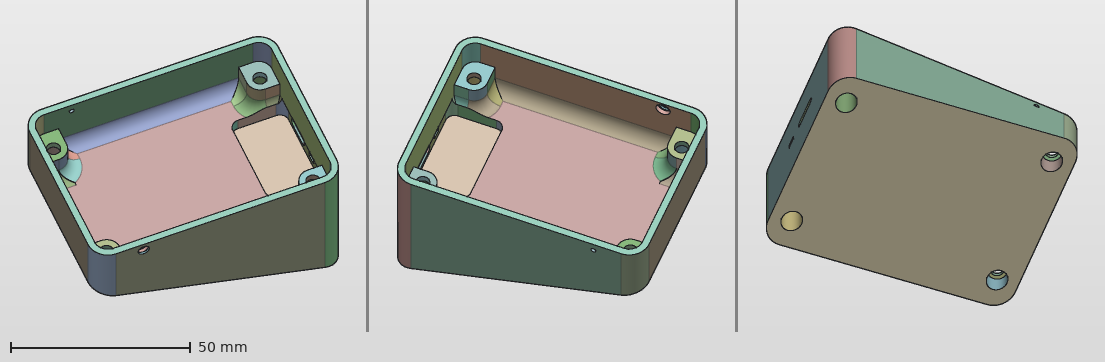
import cadquery as cq
import math


WIDTH = 53.7
LENGTH = 75.05
FRONT_HEIGHT = 18.0
SLOPE_ANGLE = 18.0
BACK_HEIGHT = FRONT_HEIGHT + LENGTH * math.tan(math.radians(SLOPE_ANGLE))
OUTER_RADIUS = 6.0

WALL = 2.0
FLOOR_Z = -FRONT_HEIGHT
FLOOR_FILLET = 4.0
FILLET_RUNOUT = 3.5
INNER_RADIUS = OUTER_RADIUS - WALL
INNER_X = WIDTH / 2 - WALL
INNER_Y = LENGTH / 2 - WALL

POST_X = 19.1
POST_Y = 31.15
POST_RADIUS = 4.0
POST_TOP_Z = -9.0
SCREW_HOLE_DIAMETER = 4.0
HEAD_BORE_DIAMETER = 6.0
HEAD_SEAT_THICKNESS = 2.0
HEAD_SEAT_Z = POST_TOP_Z - HEAD_SEAT_THICKNESS

POCKET_WIDTH = 28.3
POCKET_FRONT_Y = 19.8
POCKET_BACK_Y = 36.6
POCKET_RADIUS = 2.6
POCKET_DEPTH = 4.0
POCKET_TOP_Z = FLOOR_Z + FLOOR_FILLET
POCKET_FLOOR_Z = FLOOR_Z - POCKET_DEPTH

OPENING_X = 4.8
OPENING_Z = -19.2
CONNECTOR_WIDTH = 9.0
CONNECTOR_HEIGHT = 3.0
CONNECTOR_RADIUS = 1.3
WINDOW_WIDTH = 3.0
WINDOW_HEIGHT = 1.8

SIDE_HOLE_Y = -23.2
SIDE_HOLE_Z = -2.8
LEFT_HOLE_DIAMETER = 1.4
RIGHT_HOLE_DIAMETER = 3.3
RIGHT_BORE_DIAMETER = 4.2
RIGHT_BORE_DEPTH = 1.35

CORNERS = [(side, end) for side in (-1, 1) for end in (-1, 1)]


def block(x_limits, y_limits, z_limits):
    """Axis-aligned box between the given pairs of coordinates."""
    (x0, x1), (y0, y1), (z0, z1) = x_limits, y_limits, z_limits
    return cq.Workplane("XY").box(x1 - x0, y1 - y0, z1 - z0, centered=False).translate((x0, y0, z0))


def make_body():
    half_length = LENGTH / 2
    profile = [
        (-half_length, 0),
        (half_length, 0),
        (half_length, -BACK_HEIGHT),
        (-half_length, -FRONT_HEIGHT),
    ]
    wedge = cq.Workplane("YZ").polyline(profile).close().extrude(WIDTH / 2, both=True)
    return wedge.edges("|Z").fillet(OUTER_RADIUS)


def make_post_blank():
    """Post of the back right corner, rounded about its screw axis."""
    return (
        block(
            (POST_X - POST_RADIUS, WIDTH / 2),
            (POST_Y - POST_RADIUS, LENGTH / 2),
            (FLOOR_Z, POST_TOP_Z),
        )
        .edges("|Z and <X and <Y")
        .fillet(POST_RADIUS)
    )


def mirror_to_corner(shape, side, end):
    """Mirror a shape of the back right corner to the given corner."""
    if side < 0:
        shape = shape.mirror("YZ")
    if end < 0:
        shape = shape.mirror("XZ")
    return shape


def make_cavity():
    cavity = block((-INNER_X, INNER_X), (-INNER_Y, INNER_Y), (FLOOR_Z, 0)).edges("|Z").fillet(INNER_RADIUS)
    post = make_post_blank()
    for side, end in CORNERS:
        cavity = cavity.cut(mirror_to_corner(post, side, end))
    return cavity.faces("<Z").edges().fillet(FLOOR_FILLET)


def make_fillet_runout():
    """Straight end of a post's floor fillet that runs on past the start of the post's round side."""
    post_side = POST_X - POST_RADIUS
    runout_end = POST_Y - FILLET_RUNOUT
    fillet_edge = post_side - FLOOR_FILLET
    round_reach = math.sqrt((POST_RADIUS + FLOOR_FILLET) ** 2 - FILLET_RUNOUT**2)
    strip = block((fillet_edge, post_side), (runout_end, POST_Y), (FLOOR_Z, FLOOR_Z + FLOOR_FILLET))
    hollow = (
        cq.Workplane("XZ", origin=(fillet_edge, 0, FLOOR_Z + FLOOR_FILLET))
        .circle(FLOOR_FILLET)
        .extrude(-LENGTH / 2)
    )
    outline = [
        (post_side, POST_Y),
        (POST_X - round_reach, runout_end),
        (fillet_edge, runout_end),
        (fillet_edge, POST_Y),
    ]
    footprint = cq.Workplane("XY", origin=(0, 0, FLOOR_Z)).polyline(outline).close().extrude(FLOOR_FILLET)
    return strip.cut(hollow).intersect(footprint)


def make_pocket():
    return (
        block(
            (-POCKET_WIDTH / 2, POCKET_WIDTH / 2),
            (POCKET_FRONT_Y, POCKET_BACK_Y),
            (POCKET_FLOOR_Z, POCKET_TOP_Z),
        )
        .edges("|Z")
        .fillet(POCKET_RADIUS)
    )


def make_back_opening(x, width, height):
    return block(
        (x - width / 2, x + width / 2),
        (INNER_Y, LENGTH / 2),
        (OPENING_Z - height / 2, OPENING_Z + height / 2),
    )


def make_screw_hole():
    """Through hole and head bore of the back right post."""
    bottom = cq.Workplane("XY", origin=(POST_X, POST_Y, -BACK_HEIGHT))
    hole = bottom.circle(SCREW_HOLE_DIAMETER / 2).extrude(BACK_HEIGHT)
    head_bore = bottom.circle(HEAD_BORE_DIAMETER / 2).extrude(BACK_HEIGHT + HEAD_SEAT_Z)
    return hole.union(head_bore)


def make_side_hole(start_x, diameter, depth):
    plane = cq.Workplane("YZ", origin=(start_x, SIDE_HOLE_Y, SIDE_HOLE_Z))
    return plane.circle(diameter / 2).extrude(depth)


result = make_body().cut(make_cavity())

fillet_runout = make_fillet_runout()
for side in (-1, 1):
    result = result.union(mirror_to_corner(fillet_runout, side, -1))

screw_hole = make_screw_hole()
for side, end in CORNERS:
    result = result.cut(mirror_to_corner(screw_hole, side, end))

connector_opening = make_back_opening(-OPENING_X, CONNECTOR_WIDTH, CONNECTOR_HEIGHT)
result = (
    result.cut(make_pocket())
    .cut(connector_opening.edges("|Y").fillet(CONNECTOR_RADIUS))
    .cut(make_back_opening(OPENING_X, WINDOW_WIDTH, WINDOW_HEIGHT))
    .cut(make_side_hole(-WIDTH / 2, LEFT_HOLE_DIAMETER, WALL))
    .cut(make_side_hole(INNER_X, RIGHT_HOLE_DIAMETER, WALL))
    .cut(make_side_hole(INNER_X, RIGHT_BORE_DIAMETER, RIGHT_BORE_DEPTH))
)